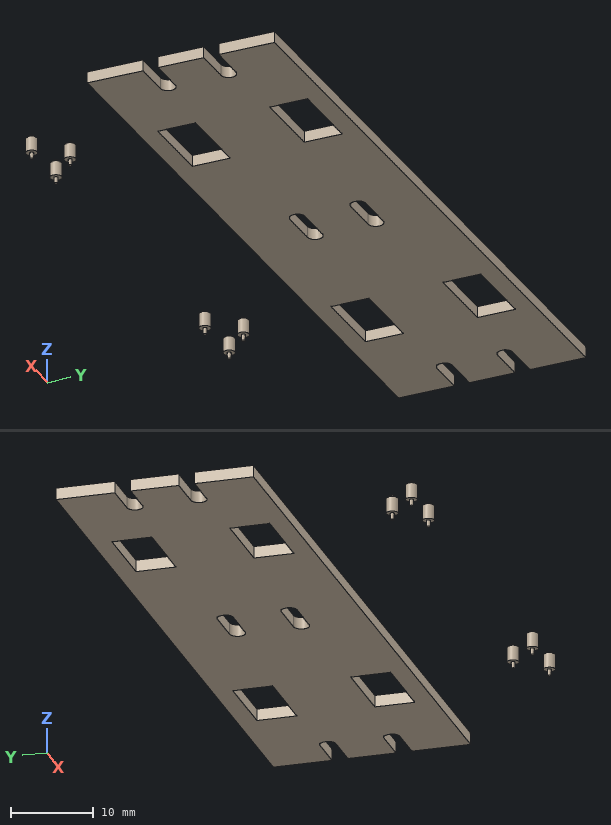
import cadquery as cq

PLATE_LENGTH = 90.0
PLATE_WIDTH = 25.0
PLATE_THICKNESS = 1.5

WINDOW_LENGTH = 10.0
WINDOW_WIDTH = 5.0
WINDOW_X = 25.0
WINDOW_Y = 7.5

SLOT_WIDTH = 2.0
SLOT_ROW_Y = 4.05
MIDDLE_SLOT_LENGTH = 7.0
END_SLOT_DEPTH = 6.0

BARREL_DIAMETER = 1.5
TAIL_DIAMETER = 0.5
PIN_BOTTOM_Z = 0.8
TAIL_LENGTH = 0.8
PIN_TOP_Z = 4.05
TIP_DIAMETER = 1.0
TIP_HEIGHT = 0.5
TIP_DOME_RISE = 0.25

PIN_PITCH = 3.5
PIN_GROUP_X = WINDOW_X
OVERALL_WIDTH = 40.8
FRONT_PIN_Y = PLATE_WIDTH / 2 - OVERALL_WIDTH + BARREL_DIAMETER / 2


def make_plate():
    plate = cq.Workplane("XY").rect(PLATE_LENGTH, PLATE_WIDTH).extrude(PLATE_THICKNESS)

    windows = (
        cq.Workplane("XY")
        .rect(2 * WINDOW_X, 2 * WINDOW_Y, forConstruction=True)
        .vertices()
        .rect(WINDOW_LENGTH, WINDOW_WIDTH)
        .extrude(PLATE_THICKNESS)
    )
    plate = plate.cut(windows)

    half_length = PLATE_LENGTH / 2
    for slot_x, slot_length in (
        (-half_length, 2 * END_SLOT_DEPTH),
        (0, MIDDLE_SLOT_LENGTH),
        (half_length, 2 * END_SLOT_DEPTH),
    ):
        slots = (
            cq.Workplane("XY")
            .pushPoints([(slot_x, -SLOT_ROW_Y), (slot_x, SLOT_ROW_Y)])
            .slot2D(slot_length, SLOT_WIDTH)
            .extrude(PLATE_THICKNESS)
        )
        plate = plate.cut(slots)
    return plate


def make_pin(x, y):
    barrel_radius = BARREL_DIAMETER / 2
    tail_radius = TAIL_DIAMETER / 2
    tip_radius = TIP_DIAMETER / 2
    barrel_bottom_z = PIN_BOTTOM_Z + TAIL_LENGTH
    tip_base_z = PIN_TOP_Z - TIP_HEIGHT
    dome_radius = (tip_radius**2 + TIP_DOME_RISE**2) / (2 * TIP_DOME_RISE)

    half_section = (
        cq.Workplane("XZ")
        .moveTo(0, PIN_BOTTOM_Z)
        .lineTo(tail_radius, PIN_BOTTOM_Z)
        .lineTo(tail_radius, barrel_bottom_z)
        .lineTo(barrel_radius, barrel_bottom_z)
        .lineTo(barrel_radius, tip_base_z)
        .lineTo(tip_radius, tip_base_z)
        .lineTo(tip_radius, PIN_TOP_Z - TIP_DOME_RISE)
        .radiusArc((0, PIN_TOP_Z), -dome_radius)
        .close()
    )
    return half_section.revolve(360, (0, 0, 0), (0, 1, 0)).translate((x, y, 0))


plate = make_plate()

pins = []
for group_x in (-PIN_GROUP_X, PIN_GROUP_X):
    pins.append(make_pin(group_x - PIN_PITCH, FRONT_PIN_Y))
    pins.append(make_pin(group_x + PIN_PITCH, FRONT_PIN_Y))
    pins.append(make_pin(group_x, FRONT_PIN_Y + PIN_PITCH))

result = cq.Compound.makeCompound([plate.val(), *[pin.val() for pin in pins]])